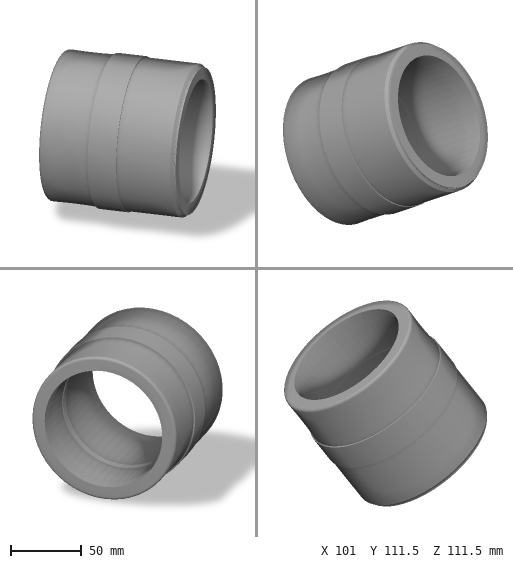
import cadquery as cq

length = 101.0
spigot_length = 37.0
collar_length = 21.0
end_lip_width = 1.1
end_face_setback = 0.4
end_band_width = 0.4
end_chamfer_length = 2.0

collar_radius = 111.5 / 2
body_radius = 109.9 / 2
spigot_end_radius = 108.5 / 2
spigot_waist_radius = 108.0 / 2
spigot_root_radius = 109.1 / 2
spigot_end_round = 2.1
end_band_radius = 106.0 / 2
lip_radius = 105.5 / 2

main_bore_radius = 88.5 / 2
land_bore_radius = 87.2 / 2
bore_land_start = 36.8
bore_land_length = 6.0

body_start = spigot_length + collar_length
lip_start = length - end_lip_width
band_start = lip_start - end_band_width
chamfer_start = band_start - end_chamfer_length
spigot_round_end = end_face_setback + spigot_end_round
spigot_middle = (spigot_round_end + spigot_length) / 2
bore_land_end = bore_land_start + bore_land_length


def make_outside():
    """Turned outside: rounded spigot with hollow sides, collar, body, end band and lip."""
    profile = (
        cq.Workplane("XY")
        .lineTo(0, main_bore_radius)
        .lineTo(end_face_setback, spigot_end_radius - spigot_end_round)
        .radiusArc((spigot_round_end, spigot_end_radius), spigot_end_round)
        .threePointArc((spigot_middle, spigot_waist_radius), (spigot_length, spigot_root_radius))
        .lineTo(spigot_length, collar_radius)
        .lineTo(body_start, collar_radius)
        .lineTo(body_start, body_radius)
        .lineTo(chamfer_start, body_radius)
        .lineTo(band_start, end_band_radius)
        .lineTo(lip_start, end_band_radius)
        .lineTo(lip_start, lip_radius)
        .lineTo(length, lip_radius)
        .lineTo(length, 0)
        .close()
    )
    return profile.revolve(360, (0, 0, 0), (1, 0, 0))


def make_bore():
    """Bore with a slightly smaller land between two lengths of equal diameter."""
    profile = (
        cq.Workplane("XY")
        .lineTo(0, main_bore_radius)
        .lineTo(bore_land_start, main_bore_radius)
        .lineTo(bore_land_start, land_bore_radius)
        .lineTo(bore_land_end, land_bore_radius)
        .lineTo(bore_land_end, main_bore_radius)
        .lineTo(length, main_bore_radius)
        .lineTo(length, 0)
        .close()
    )
    return profile.revolve(360, (0, 0, 0), (1, 0, 0))


result = make_outside().cut(make_bore())